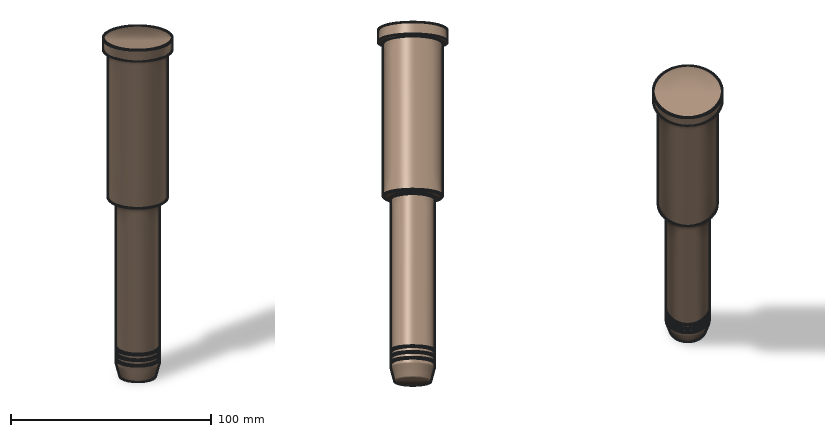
import cadquery as cq

total_length = 181.0
head_diameter = 35.0
shank_diameter = 30.0
pin_diameter = 22.0
neck_diameter = 20.6
tip_diameter = 18.3

head_height = 6.2
shank_length = 79.8
neck_length = 1.0
tip_length = 7.0

head_chamfer = 0.4
shank_chamfer = 0.5
undercut_radius = 0.45
tip_fillet = 0.5

groove_count = 3
pin_groove_radius = 0.45
lowest_groove_height = 9.6
highest_groove_height = 15.5
groove_pitch = (highest_groove_height - lowest_groove_height) / (groove_count - 1)

head_bottom = total_length - head_height
shank_bottom = head_bottom - shank_length
pin_top = shank_bottom - neck_length


def make_turned_body():
    """Stepped pin: half outline on the -X side, revolved about the Z axis."""
    head_radius = head_diameter / 2
    shank_radius = shank_diameter / 2
    neck_radius = neck_diameter / 2
    pin_radius = pin_diameter / 2
    outline = [
        (0, 0),
        (-tip_diameter / 2, 0),
        (-pin_radius, tip_length),
        (-pin_radius, pin_top),
        (-neck_radius, pin_top),
        (-neck_radius, shank_bottom),
        (-(shank_radius - shank_chamfer), shank_bottom),
        (-shank_radius, shank_bottom + shank_chamfer),
        (-shank_radius, head_bottom),
        (-head_radius, head_bottom),
        (-head_radius, total_length - head_chamfer),
        (-(head_radius - head_chamfer), total_length),
        (0, total_length),
    ]
    return cq.Workplane("XZ").polyline(outline).close().revolve(360, (0, 0, 0), (0, 1, 0))


def make_groove(height, surface_diameter, groove_radius):
    """Half-round ring to be cut into a cylindrical surface, centered on a given height."""
    return cq.Workplane("XY").add(
        cq.Solid.makeTorus(surface_diameter / 2, groove_radius, cq.Vector(0, 0, height))
    )


result = make_turned_body()
result = result.faces("<Z").edges().fillet(tip_fillet)

undercut_height = head_bottom - undercut_radius
result = result.cut(make_groove(undercut_height, shank_diameter, undercut_radius))

for index in range(groove_count):
    groove_height = lowest_groove_height + index * groove_pitch
    result = result.cut(make_groove(groove_height, pin_diameter, pin_groove_radius))